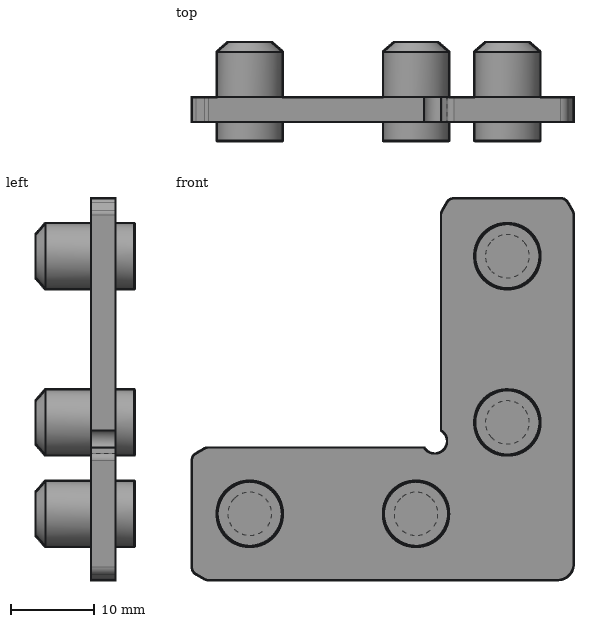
import cadquery as cq
import math

arm_length = 46.0
arm_width = 16.0
plate_thickness = 3.0
outer_corner_radius = 2.0

bevel_across = 1.0
bevel_angle = 30.0
bevel_along = bevel_across / math.tan(math.radians(bevel_angle))
bevel_blend_radius = 1.0

relief_radius = 1.45
relief_offset = 16.75

pin_diameter = 8.0
pin_line_offset = 8.0
pin_end_offset = 7.0
pin_spacing = 20.0
pin_front_height = 2.35
pin_back_height = 6.65
front_edge_chamfer = 0.15
tip_length = 1.2
tip_inset = 1.4

half = arm_length / 2
inner_edge = half - arm_width
plate_back = plate_thickness / 2
plate_front = -plate_back


def extrude_along_y(sketch, y_start, length):
    """Place an XZ outline at y_start and extrude it towards +Y."""
    return sketch.extrude(-length).translate((0, y_start, 0))


def make_plate():
    """L-shaped plate with bevelled arm ends and a relieved inner corner."""
    outline = cq.Workplane("XZ").polyline([
        (half, -half),
        (half, half - bevel_along),
        (half - bevel_across, half),
        (inner_edge + bevel_across, half),
        (inner_edge, half - bevel_along),
        (inner_edge, -inner_edge),
        (-half + bevel_along, -inner_edge),
        (-half, -inner_edge - bevel_across),
        (-half, -half + bevel_across),
        (-half + bevel_along, -half),
    ]).close()
    plate = extrude_along_y(outline, plate_front, plate_thickness)

    margin = bevel_along + 0.45
    top_end = cq.selectors.BoxSelector(
        (inner_edge - 0.45, -half, half - margin), (half + 0.45, half, half + 0.45))
    left_end = cq.selectors.BoxSelector(
        (-half - 0.45, -half, -half - 0.45), (-half + margin, half, -inner_edge + 0.45))
    plate = plate.edges("|Y").edges(top_end + left_end).fillet(bevel_blend_radius)
    plate = plate.edges("|Y").edges(">X and <Z").fillet(outer_corner_radius)

    relief_center = (half - relief_offset, relief_offset - half)
    relief = cq.Workplane("XZ").center(*relief_center).circle(relief_radius)
    return plate.cut(extrude_along_y(relief, plate_front, plate_thickness))


def make_pin(x, z):
    """Pin with a broken front edge and a tapered back tip."""
    length = pin_front_height + plate_thickness + pin_back_height
    sketch = cq.Workplane("XZ").center(x, z).circle(pin_diameter / 2)
    pin = extrude_along_y(sketch, plate_front - pin_front_height, length)
    pin = pin.faces("<Y").chamfer(front_edge_chamfer)
    return pin.faces(">Y").chamfer(tip_length, tip_inset)


result = make_plate()
for row in range(2):
    along = -half + pin_end_offset + row * pin_spacing
    across = -half + pin_line_offset
    result = result.union(make_pin(along, across))
    result = result.union(make_pin(-across, -along))